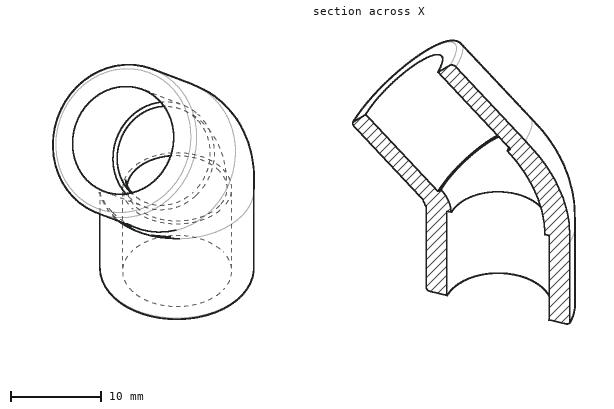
import cadquery as cq
import math

bend_angle = 45.0
outer_diameter = 17.0
socket_diameter = 12.0
passage_diameter = 11.0
bulge_diameter = 17.32
bend_radius = 9.6
leg_length = 12.02
rim_fillet = 0.5

outer_radius = outer_diameter / 2


def bend_plane(angle):
    """Tube cross-section plane at an angle round the bend; its normal runs along the tube."""
    turn = math.radians(angle)
    centre = (
        0,
        -bend_radius * (1 - math.cos(turn)),
        leg_length + bend_radius * math.sin(turn),
    )
    flow = (0, -math.sin(turn), math.cos(turn))
    return cq.Plane(origin=centre, xDir=(1, 0, 0), normal=flow)


def section_wire(angle, diameter):
    """Outer circular cross-section at an angle round the bend."""
    return cq.Workplane(bend_plane(angle)).circle(diameter / 2).val()


def bend_passage(radius):
    """Round passage of constant radius following the bend."""
    return (
        cq.Workplane("XY", origin=(0, 0, leg_length))
        .circle(radius)
        .revolve(bend_angle, (0, -bend_radius, 0), (1, -bend_radius, 0))
    )


def leg(plane, length):
    """Straight leg with a rounded outer rim at its open end; a negative length runs backwards."""
    tube = cq.Workplane(plane).circle(outer_radius).extrude(length)
    outward = plane.zDir * math.copysign(1, length)
    open_end = tube.faces(cq.selectors.DirectionMinMaxSelector(outward))
    return open_end.edges().fillet(rim_fillet)


def socket(plane, length):
    """Socket bore of one leg, leaving a ledge where it meets the narrower passage."""
    return cq.Workplane(plane).circle(socket_diameter / 2).extrude(length)


lower_end = bend_plane(0)
upper_end = bend_plane(bend_angle)

outer_bend = cq.Workplane(cq.Solid.makeLoft([
    section_wire(0, outer_diameter),
    section_wire(bend_angle / 2, bulge_diameter),
    section_wire(bend_angle, outer_diameter),
]))

body = outer_bend.union(leg(lower_end, -leg_length)).union(leg(upper_end, leg_length))

result = (
    body
    .cut(bend_passage(passage_diameter / 2))
    .cut(socket(lower_end, -leg_length))
    .cut(socket(upper_end, leg_length))
)